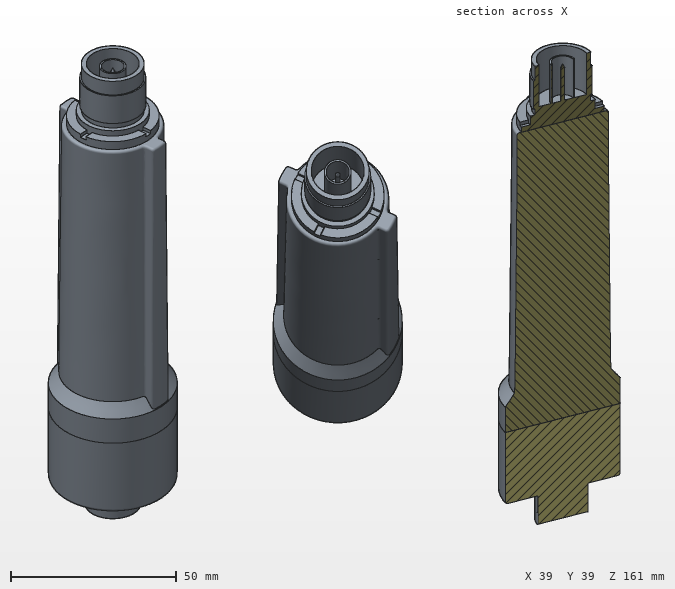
import cadquery as cq
import math

TOTAL_HEIGHT = 161
CAP_BOTTOM_Z = 10.0
CAP_TOP_Z = 35.3
SHOULDER_BOTTOM_Z = 44.1
SHOULDER_TOP_Z = 48.3
SLEEVE_TOP_Z = 139.1
FLANGE_TOP_Z = 142.0
COLLAR_TOP_Z = 144.0
THREAD_BOTTOM_Z = 145.9
THREAD_TOP_Z = 156.0

MAIN_DIAMETER = 39.0
STUB_DIAMETER = 17.0
CAP_EDGE_ROUND = 1.0

SLEEVE_TOP_DIAMETER = 30.9
SLEEVE_SHOULDER_DIAMETER = 32.7
SLEEVE_EDGE_ROUND = 0.8
RIB_TOP_DIAMETER = 37.7
RIB_BASE_DIAMETER = 38.6
RIB_TOP_WIDTH = 6.3
RIB_BASE_WIDTH = 7.9
RIB_EDGE_ROUND = 1.0
RIB_ROOT_ROUND = 1.0

FLANGE_DIAMETER = 28.0
COLLAR_DIAMETER = 22.0
THREAD_DIAMETER = 20.0
BARREL_DIAMETER = 19.0
SOCKET_DIAMETER = 16.0
SOCKET_DEPTH = 14.5
CONTACT_TUBE_DIAMETER = 8
CONTACT_BORE_DIAMETER = 7.0
CONTACT_TUBE_RECESS = 1.0
PIN_DIAMETER = 1.5
PIN_TIP_LENGTH = 1.6
PIN_RECESS = 1.6
SLOT_WIDTH = 2.1
SLOT_DEPTH = 1.1
SLOT_COUNT = 4


def cylinder(diameter, bottom_z, top_z):
    return cq.Workplane("XY", origin=(0, 0, bottom_z)).circle(diameter / 2).extrude(top_z - bottom_z)


def cone(bottom_diameter, top_diameter, bottom_z, top_z):
    base = cq.Vector(0, 0, bottom_z)
    solid = cq.Solid.makeCone(bottom_diameter / 2, top_diameter / 2, top_z - bottom_z, base)
    return cq.Workplane(solid)


def make_end_cap():
    cap = cylinder(MAIN_DIAMETER, CAP_BOTTOM_Z, CAP_TOP_Z).faces("<Z").edges().fillet(CAP_EDGE_ROUND)
    return cap.union(cylinder(STUB_DIAMETER, 0, CAP_BOTTOM_Z))


def make_rib_core():
    """Drafted bar across the axis, trimmed to a cone, so each end forms one rib."""
    bar = (
        cq.Workplane("XY", origin=(0, 0, CAP_TOP_Z))
        .rect(2 * MAIN_DIAMETER, RIB_BASE_WIDTH)
        .workplane(offset=SLEEVE_TOP_Z - CAP_TOP_Z)
        .rect(2 * MAIN_DIAMETER, RIB_TOP_WIDTH)
        .loft(ruled=True)
    )
    return bar.intersect(cone(RIB_BASE_DIAMETER, RIB_TOP_DIAMETER, CAP_TOP_Z, SLEEVE_TOP_Z))


def lengthwise_edges(body, min_radius, max_radius):
    """Long rib edges whose middle lies between two radii, leaving out seams on the X axis."""
    min_length = (SLEEVE_TOP_Z - CAP_TOP_Z) / 2
    min_offset = RIB_TOP_WIDTH / 4
    chosen = []
    for edge in body.edges().vals():
        middle = edge.Center()
        radius = math.hypot(middle.x, middle.y)
        is_long = edge.BoundingBox().zlen > min_length
        is_beside_axis = abs(middle.y) > min_offset
        if is_long and is_beside_axis and min_radius < radius < max_radius:
            chosen.append(edge)
    return body.newObject(chosen)


def make_sleeve():
    taper = (SLEEVE_SHOULDER_DIAMETER - SLEEVE_TOP_DIAMETER) / (SLEEVE_TOP_Z - SHOULDER_TOP_Z)
    base_diameter = SLEEVE_TOP_DIAMETER + taper * (SLEEVE_TOP_Z - CAP_TOP_Z)
    rib_root_limit = (SLEEVE_SHOULDER_DIAMETER + RIB_TOP_DIAMETER) / 4

    sleeve = cone(base_diameter, SLEEVE_TOP_DIAMETER, CAP_TOP_Z, SLEEVE_TOP_Z).union(make_rib_core())
    sleeve = lengthwise_edges(sleeve, rib_root_limit, MAIN_DIAMETER / 2).fillet(RIB_EDGE_ROUND)
    sleeve = lengthwise_edges(sleeve, 0, rib_root_limit).fillet(RIB_ROOT_ROUND)
    sleeve = sleeve.faces(">Z").edges().fillet(SLEEVE_EDGE_ROUND)

    base = cylinder(MAIN_DIAMETER, CAP_TOP_Z, SHOULDER_BOTTOM_Z)
    shoulder = cone(MAIN_DIAMETER, SLEEVE_SHOULDER_DIAMETER, SHOULDER_BOTTOM_Z, SHOULDER_TOP_Z)
    return sleeve.union(base).union(shoulder)


def make_slot_cutter(angle):
    """Radial slot across the top of the flange, from the collar outwards."""
    return (
        cq.Workplane("XY", origin=(0, 0, FLANGE_TOP_Z - SLOT_DEPTH))
        .rect(FLANGE_DIAMETER, SLOT_WIDTH, centered=(False, True))
        .extrude(SLOT_DEPTH)
        .cut(cylinder(COLLAR_DIAMETER, SLEEVE_TOP_Z, COLLAR_TOP_Z))
        .rotate((0, 0, 0), (0, 0, 1), angle)
    )


def make_connector():
    connector = cylinder(FLANGE_DIAMETER, SLEEVE_TOP_Z, FLANGE_TOP_Z)
    for index in range(SLOT_COUNT):
        connector = connector.cut(make_slot_cutter(index * 360 / SLOT_COUNT))
    connector = connector.union(cylinder(COLLAR_DIAMETER, SLEEVE_TOP_Z, COLLAR_TOP_Z))
    connector = connector.union(cylinder(BARREL_DIAMETER, COLLAR_TOP_Z, TOTAL_HEIGHT))
    connector = connector.union(cylinder(THREAD_DIAMETER, THREAD_BOTTOM_Z, THREAD_TOP_Z))

    socket_floor_z = TOTAL_HEIGHT - SOCKET_DEPTH
    tube_top_z = TOTAL_HEIGHT - CONTACT_TUBE_RECESS
    pin_tip_z = TOTAL_HEIGHT - PIN_RECESS
    pin_shoulder_z = pin_tip_z - PIN_TIP_LENGTH
    connector = connector.cut(cylinder(SOCKET_DIAMETER, socket_floor_z, TOTAL_HEIGHT))
    contact_tube = cylinder(CONTACT_TUBE_DIAMETER, socket_floor_z, tube_top_z)
    contact_tube = contact_tube.cut(cylinder(CONTACT_BORE_DIAMETER, socket_floor_z, tube_top_z))
    pin = cylinder(PIN_DIAMETER, socket_floor_z, pin_shoulder_z)
    pin = pin.union(cone(PIN_DIAMETER, 0, pin_shoulder_z, pin_tip_z))
    return connector.union(contact_tube).union(pin)


end_cap = make_end_cap()
sleeve = make_sleeve()
connector = make_connector()

result = cq.Compound.makeCompound([end_cap.val(), sleeve.val(), connector.val()])